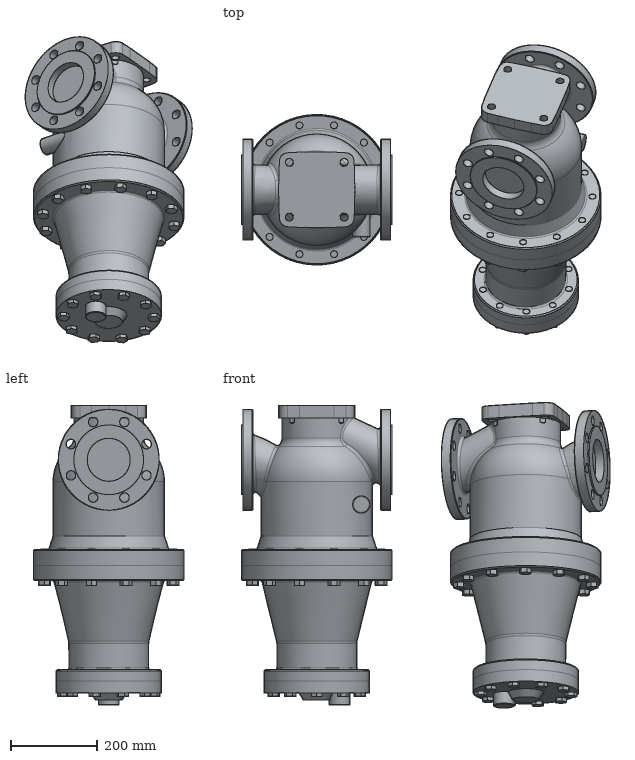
import cadquery as cq
import math


face_to_face = 350.0
pipe_flange_diameter = 235.0
pipe_flange_thickness = 23.0
pipe_flange_chamfer = 1.5
raised_face_diameter = 162.0
raised_face_height = 3.5
pipe_bore_diameter = 100.0
pipe_bore_depth = 20.0
pipe_bolt_count = 8
pipe_bolt_circle = 190.0
pipe_bolt_hole = 22.0

pipe_diameter = 115.0
outlet_tilt = 25.0
outlet_length = 125.0
inlet_flange_tilt = 20.0
inlet_end_tilt = 50.0
inlet_bend_x = -135.0
inlet_end_x = -85.0
inlet_end_z = -50.0
pipe_root_fillet = 8.0
pipe_collar_fillet = 6.0

overall_height = 697.2
cover_top = 126.7
cover_thickness = 30.0
cover_half_x = 88.6
cover_half_y = 87.5
cover_flat_half = 40.0
cover_side_end = 67.0
cover_side_drop = 1.5
cover_corner_radius = 20.0
cover_bolt_hole = 18.0
cover_bolt_offset = 63.7
neck_drill_circle = 171.6
neck_drill_depth = 10.0
drill_point_angle = 118.0

neck_diameter = 162.0
body_diameter = 259.0
dome_radius = 105.0
dome_blend_radius = 26.5
dome_base = -51.0
skirt_top = -177.0
skirt_diameter = 279.0

main_flange_diameter = 350.0
main_flange_top = -208.0
main_joint = -245.5
main_flange_bottom = -281.0
main_bolt_count = 12
main_bolt_circle = 310.0
main_first_bolt = 15.0
main_head_turn = 15.0
main_head_height = 11.0

cone_top_diameter = 256.0
cone_bottom = -424.0
lower_neck_diameter = 186.0
cone_blend_radius = 25.0

lower_flange_diameter = 245.0
lower_flange_top = -488.0
lower_joint = -514.0
lower_flange_bottom = -541.5
lower_bolt_count = 10
lower_bolt_circle = 210.0
lower_first_bolt = 90.0
lower_head_turn = 0.0
lower_head_height = 8.5

flange_chamfer = 3.0
root_fillet = 4.0
bolt_diameter = 16.0
bolt_head_across_flats = 24.0
bolt_end_projection = 1.0

drain_boss_top_diameter = 84.0
drain_boss_bottom_diameter = 62.0
drain_boss_height = 17.0
drain_pipe_diameter = 48.0
drain_pipe_offset = 53.0
drain_pipe_bottom = cover_top - overall_height
drain_pipe_chamfer = 1.5

side_port_diameter = 40.0
side_port_end_diameter = 36.0
side_port_x = 103.5
side_port_z = -104.0
side_port_end_y = -109.5

cover_bottom = cover_top - cover_thickness
selection_margin = 1.0

pipe_flange_back = face_to_face / 2 - raised_face_height - pipe_flange_thickness
pipe_flange_middle = face_to_face / 2 - raised_face_height - pipe_flange_thickness / 2


def box_selector(low, high):
    """Selects the edges that lie wholly inside a box."""
    return cq.selectors.BoxSelector(low, high, boundingbox=True)


def circle_at(diameter, z):
    """Selects the circle of this diameter around the Z axis at height z."""
    outer = diameter / 2 + selection_margin
    inner = diameter / 2 - selection_margin
    low, high = z - selection_margin, z + selection_margin
    return box_selector((-outer, -outer, low), (outer, outer, high)) - box_selector(
        (-inner, -inner, low), (inner, inner, high)
    )


def upper_body():
    """Neck, dome, skirt and the upper flange of the main joint."""
    neck_r = neck_diameter / 2
    body_r = body_diameter / 2
    main_r = main_flange_diameter / 2

    dome_center_r = body_r - dome_radius
    blend_center_r = neck_r + dome_blend_radius
    centers_angle = math.acos((blend_center_r - dome_center_r) / (dome_radius + dome_blend_radius))
    blend_center_z = dome_base + (dome_radius + dome_blend_radius) * math.sin(centers_angle)

    def on_dome(angle):
        return (dome_center_r + dome_radius * math.cos(angle), dome_base + dome_radius * math.sin(angle))

    def on_blend(angle):
        return (
            blend_center_r - dome_blend_radius * math.cos(angle),
            blend_center_z - dome_blend_radius * math.sin(angle),
        )

    profile = (
        cq.Workplane("XZ")
        .moveTo(0, cover_bottom)
        .lineTo(neck_r, cover_bottom)
        .lineTo(*on_blend(0))
        .threePointArc(on_blend(centers_angle / 2), on_blend(centers_angle))
        .threePointArc(on_dome(centers_angle / 2), on_dome(0))
        .lineTo(body_r, skirt_top)
        .lineTo(skirt_diameter / 2, main_flange_top)
        .lineTo(main_r - flange_chamfer, main_flange_top)
        .lineTo(main_r, main_flange_top - flange_chamfer)
        .lineTo(main_r, main_joint)
        .lineTo(0, main_joint)
        .close()
    )
    body = profile.revolve(360, (0, 0, 0), (0, 1, 0))
    return body.edges(circle_at(skirt_diameter, main_flange_top)).fillet(root_fillet)


def lower_body():
    """Lower flange of the main joint, cone, straight neck and the upper flange of the lower joint."""
    main_r = main_flange_diameter / 2
    neck_r = lower_neck_diameter / 2
    flange_r = lower_flange_diameter / 2
    profile = (
        cq.Workplane("XZ")
        .moveTo(0, main_joint)
        .lineTo(main_r, main_joint)
        .lineTo(main_r, main_flange_bottom + flange_chamfer)
        .lineTo(main_r - flange_chamfer, main_flange_bottom)
        .lineTo(cone_top_diameter / 2, main_flange_bottom)
        .lineTo(neck_r, cone_bottom)
        .lineTo(neck_r, lower_flange_top)
        .lineTo(flange_r - flange_chamfer, lower_flange_top)
        .lineTo(flange_r, lower_flange_top - flange_chamfer)
        .lineTo(flange_r, lower_joint)
        .lineTo(0, lower_joint)
        .close()
    )
    body = profile.revolve(360, (0, 0, 0), (0, 1, 0))
    body = body.edges(circle_at(cone_top_diameter, main_flange_bottom)).fillet(root_fillet)
    body = body.edges(circle_at(lower_neck_diameter, lower_flange_top)).fillet(root_fillet)
    return body.edges(circle_at(lower_neck_diameter, cone_bottom)).fillet(cone_blend_radius)


def bottom_cover():
    """Round blind flange that closes the lower joint."""
    disc = cq.Workplane("XY").workplane(offset=lower_joint).circle(lower_flange_diameter / 2)
    return disc.extrude(lower_flange_bottom - lower_joint)


def between_flanges(pipe):
    """Pipe cut off square inside the two pipe flanges."""
    reach = face_to_face - 2 * raised_face_height - pipe_flange_thickness
    return pipe.intersect(cq.Workplane("XY").box(reach, face_to_face, face_to_face))


def outlet_pipe():
    """Straight pipe that rises from the +X flange into the neck."""
    tilt = math.radians(outlet_tilt)
    along_pipe = (-math.cos(tilt), 0, math.sin(tilt))
    middle = cq.Plane((pipe_flange_middle, 0, 0), (0, 1, 0), along_pipe)
    pipe = cq.Workplane(middle).workplane(offset=-pipe_diameter / 2)
    return between_flanges(pipe.circle(pipe_diameter / 2).extrude(pipe_diameter / 2 + outlet_length))


def inlet_pipe():
    """Pipe that falls from the -X flange and bends further down into the dome."""
    tilt = math.radians(inlet_flange_tilt)
    end_tilt = math.radians(inlet_end_tilt)
    start_direction = (math.cos(tilt), 0, -math.sin(tilt))
    end_direction = (math.cos(end_tilt), 0, -math.sin(end_tilt))

    def before_bend(x):
        return (x, 0, -(x + pipe_flange_middle) * math.tan(tilt))

    start = before_bend(-pipe_flange_middle - pipe_diameter / 2)
    points = [start, before_bend(inlet_bend_x), (inlet_end_x, 0, inlet_end_z)]
    tangents = [cq.Vector(*start_direction), cq.Vector(*end_direction)]
    path = cq.Workplane(cq.Edge.makeSpline([cq.Vector(*point) for point in points], tangents=tangents))
    section = cq.Plane(start, (0, 1, 0), start_direction)
    return between_flanges(cq.Workplane(section).circle(pipe_diameter / 2).sweep(path))


def pipe_flange(side):
    """Flange with a raised face; side is -1 for the inlet and +1 for the outlet."""
    face = cq.Plane((side * face_to_face / 2, 0, 0), (0, 1, 0), (-side, 0, 0))
    raised = cq.Workplane(face).circle(raised_face_diameter / 2).extrude(raised_face_height)
    disc = (
        cq.Workplane(face)
        .workplane(offset=raised_face_height)
        .circle(pipe_flange_diameter / 2)
        .extrude(pipe_flange_thickness)
        .faces(">X" if side < 0 else "<X")
        .chamfer(pipe_flange_chamfer)
    )
    return raised.union(disc)


def pipe_flange_cuts(side):
    """Blind bore and bolt holes of one pipe flange."""
    face = cq.Plane((side * face_to_face / 2, 0, 0), (0, 1, 0), (-side, 0, 0))
    bore = cq.Workplane(face).circle(pipe_bore_diameter / 2).extrude(pipe_bore_depth)
    first_angle = 180 / pipe_bolt_count
    holes = (
        cq.Workplane(face)
        .polarArray(pipe_bolt_circle / 2, first_angle, 360, pipe_bolt_count)
        .circle(pipe_bolt_hole / 2)
        .extrude(raised_face_height + pipe_flange_thickness)
    )
    return bore.union(holes)


def cover():
    """Square cover with slightly kinked sides and rounded corners."""
    side_slope = cover_side_drop / (cover_side_end - cover_flat_half)
    corner_x = cover_half_x - cover_side_drop - side_slope * (cover_half_y - cover_side_end)
    corner_y = cover_half_y - side_slope * (corner_x - cover_flat_half)
    shoulder_x = cover_half_x - cover_side_drop / 2
    half_outline = [
        (cover_flat_half, cover_half_y),
        (corner_x, corner_y),
        (shoulder_x, cover_flat_half),
        (cover_half_x, 0),
        (shoulder_x, -cover_flat_half),
        (corner_x, -corner_y),
        (cover_flat_half, -cover_half_y),
    ]
    outline = half_outline + [(-x, -y) for x, y in half_outline]
    base = cq.Workplane("XY").workplane(offset=cover_bottom)
    plate = base.polyline(outline).close().extrude(cover_thickness)
    for sx in (-1, 1):
        for sy in (-1, 1):
            corner = (sx * corner_x, sy * corner_y, cover_bottom + cover_thickness / 2)
            nearest = cq.selectors.NearestToPointSelector(corner)
            plate = plate.edges("|Z").edges(nearest).fillet(cover_corner_radius)
    return plate


def cover_bolt_cuts():
    """Through holes of the cover, and drilled holes that graze the neck below it."""
    span = 2 * cover_bolt_offset
    through = (
        cq.Workplane("XY")
        .workplane(offset=cover_bottom)
        .rect(span, span, forConstruction=True)
        .vertices()
        .circle(cover_bolt_hole / 2)
        .extrude(cover_thickness)
    )
    radius = cover_bolt_hole / 2
    point = radius / math.tan(math.radians(drill_point_angle / 2))
    drill = (
        cq.Workplane("XZ")
        .moveTo(0, 0)
        .lineTo(radius, 0)
        .lineTo(radius, -neck_drill_depth)
        .lineTo(0, -neck_drill_depth - point)
        .close()
        .revolve(360, (0, 0, 0), (0, 1, 0))
        .val()
    )
    spots = cq.Workplane("XY").workplane(offset=cover_bottom).polarArray(neck_drill_circle / 2, 45, 360, 4)
    return through.union(spots.eachpoint(lambda place: drill.moved(place)))


def bolt_ring(count, circle, first_angle, head_turn, head_top, head_height, bolt_top):
    """Ring of bolts: hexagon heads below the flanges and bolt ends standing proud above them."""
    corner_diameter = bolt_head_across_flats / math.cos(math.pi / 6)
    head = cq.Workplane("XY").polygon(6, corner_diameter).extrude(head_height)
    head = head.rotate((0, 0, 0), (0, 0, 1), head_turn)
    heads = (
        cq.Workplane("XY")
        .workplane(offset=head_top - head_height)
        .polarArray(circle / 2, first_angle, 360, count)
        .eachpoint(lambda place: head.val().moved(place))
    )
    shanks = (
        cq.Workplane("XY")
        .workplane(offset=head_top)
        .polarArray(circle / 2, first_angle, 360, count)
        .circle(bolt_diameter / 2)
        .extrude(bolt_top - head_top)
    )
    return heads.union(shanks)


def drain():
    """Tapered boss under the lower flange with an offset drain pipe."""
    boss = (
        cq.Workplane("XY")
        .workplane(offset=lower_flange_bottom)
        .circle(drain_boss_top_diameter / 2)
        .workplane(offset=-drain_boss_height)
        .circle(drain_boss_bottom_diameter / 2)
        .loft()
    )
    pipe = (
        cq.Workplane("XY", origin=(drain_pipe_offset, 0, drain_pipe_bottom))
        .circle(drain_pipe_diameter / 2)
        .extrude(lower_flange_bottom - drain_pipe_bottom)
        .faces("<Z")
        .chamfer(drain_pipe_chamfer)
    )
    return boss.union(pipe)


def side_port():
    """Round port that stands out of the body toward -Y."""
    port = (
        cq.Workplane("XZ", origin=(side_port_x, 0, side_port_z))
        .circle(side_port_diameter / 2)
        .extrude(-side_port_end_y)
    )
    return port.faces("<Y").edges().fillet((side_port_diameter - side_port_end_diameter) / 2)


def blend_pipes(shape):
    """Fillets where each pipe meets the body and the back of its flange."""
    half_width = pipe_diameter / 2 + selection_margin
    bottom = -pipe_flange_diameter / 2
    top = cover_bottom - selection_margin
    innermost = neck_diameter / 4
    before_back = pipe_flange_back - selection_margin
    after_back = pipe_flange_back + selection_margin
    outlet_root = ((innermost, -half_width, bottom), (before_back, half_width, top))
    inlet_root = ((-before_back, -half_width, bottom), (-innermost, half_width, top))
    outlet_collar = ((before_back, -half_width, -top), (after_back, half_width, top))
    inlet_collar = ((-after_back, -half_width, -top), (-before_back, half_width, top))
    blends = (
        (outlet_root, pipe_root_fillet),
        (inlet_root, pipe_root_fillet),
        (inlet_collar, pipe_collar_fillet),
        (outlet_collar, pipe_collar_fillet),
    )
    for (low, high), radius in blends:
        shape = shape.edges(box_selector(low, high)).fillet(radius)
    return shape


result = upper_body()
for piece in (outlet_pipe(), inlet_pipe(), pipe_flange(-1), pipe_flange(1)):
    result = result.union(piece, clean=False)
result = blend_pipes(result)
result = result.cut(pipe_flange_cuts(-1), clean=False).cut(pipe_flange_cuts(1), clean=False)
main_bolts = bolt_ring(
    main_bolt_count,
    main_bolt_circle,
    main_first_bolt,
    main_head_turn,
    main_flange_bottom,
    main_head_height,
    main_flange_top + bolt_end_projection,
)
lower_bolts = bolt_ring(
    lower_bolt_count,
    lower_bolt_circle,
    lower_first_bolt,
    lower_head_turn,
    lower_flange_bottom,
    lower_head_height,
    lower_flange_top + bolt_end_projection,
)
for piece in (lower_body(), bottom_cover(), cover(), drain(), side_port(), main_bolts, lower_bolts):
    result = result.union(piece, clean=False)
result = result.cut(cover_bolt_cuts(), clean=False)